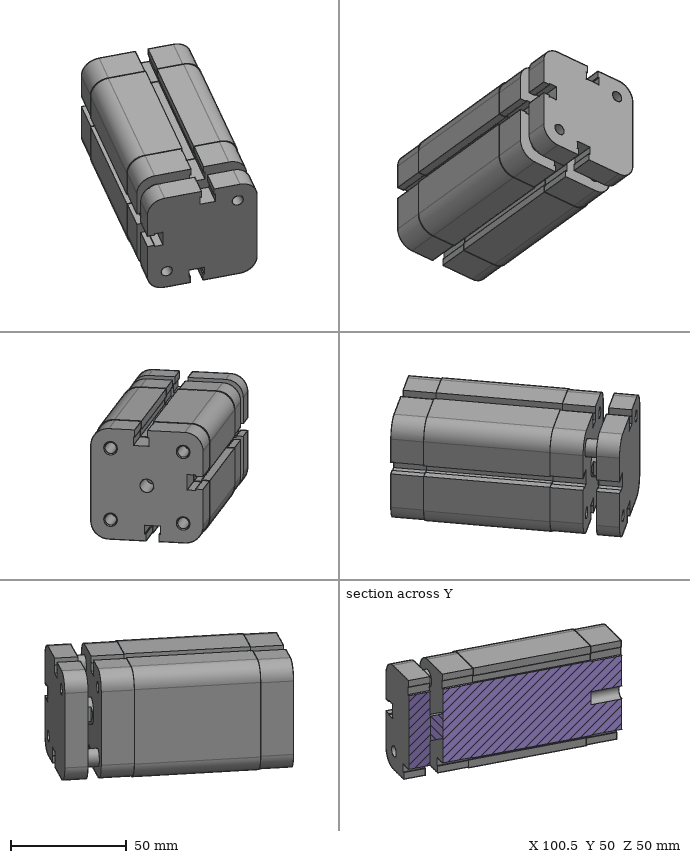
import cadquery as cq


housing_length = 84.5
end_cap_length = 14.5
barrel_length = housing_length - 2 * end_cap_length
rod_stand_out = 5.8
overall_length = 100.5
plate_start = housing_length + rod_stand_out
plate_length = overall_length - plate_start

barrel_width = 50.0
set_in = 0.25
barrel_corner_radius = 8.0
cap_corner_radius = 8.0
plate_corner_radius = barrel_corner_radius - set_in

slot_offset = 2.5
slot_mouth_width = 5.2
slot_undercut_width = 6.4
slot_undercut_depth = 3.75
slot_floor_depth = 7.0
slot_angles = [0, 90, 180]

corner_offset = 16.0
through_hole_corners = [(corner_offset, corner_offset), (-corner_offset, -corner_offset)]
guide_rod_corners = [(-corner_offset, corner_offset), (corner_offset, -corner_offset)]
corner_hole_diameter = 5.0
corner_hole_mouth_diameter = 6.0
mouth_chamfer_depth = (corner_hole_mouth_diameter - corner_hole_diameter) / 2
blind_hole_depth = end_cap_length
center_hole_diameter = 6.0
center_hole_depth = end_cap_length
guide_rod_diameter = 8.0

piston_rod_diameter = 12.0
wrench_flat_width = 10.0
collar_length = 0.5
shoulder_length = 0.5


def cylinder(x_start, length, diameter, points):
    """Equal cylinders along X, centred on the given (Y, Z) points."""
    return cq.Workplane("YZ", origin=(x_start, 0, 0)).pushPoints(points).circle(diameter / 2).extrude(length)


def slot_box(x_start, length, width, bottom, top):
    """Box along X between two heights, centred on the top slot."""
    plane = cq.Workplane("YZ", origin=(x_start, slot_offset, (bottom + top) / 2))
    return plane.rect(width, top - bottom).extrude(length)


def slot_cutter(x_start, length, inset):
    """Top T-slot with all its walls moved into the material by the inset."""
    outer = barrel_width / 2
    floor = outer - slot_floor_depth - inset
    undercut_top = outer - slot_undercut_depth + inset
    mouth = slot_box(x_start, length, slot_mouth_width + 2 * inset, floor, outer)
    undercut = slot_box(x_start, length, slot_undercut_width + 2 * inset, floor, undercut_top)
    return mouth.union(undercut)


def slotted_block(x_start, length, inset, corner_radius):
    """Rounded square block along X with the three T-slots."""
    width = barrel_width - 2 * inset
    block = cq.Workplane("YZ", origin=(x_start, 0, 0)).rect(width, width).extrude(length)
    block = block.edges("|X").fillet(corner_radius)
    cutter = slot_cutter(x_start, length, inset)
    for angle in slot_angles:
        block = block.cut(cutter.rotate((0, 0, 0), (1, 0, 0), angle))
    return block


def hole_mouth(y, z):
    """Cone that chamfers the mouth of a corner hole in the rear face."""
    cone = cq.Solid.makeCone(
        corner_hole_mouth_diameter / 2,
        corner_hole_diameter / 2,
        mouth_chamfer_depth,
        pnt=cq.Vector(0, y, z),
        dir=cq.Vector(1, 0, 0),
    )
    return cq.Workplane(cone)


def make_housing():
    """Barrel with its two end caps, corner holes and rear centre hole."""
    rear_cap = slotted_block(0, end_cap_length, set_in, cap_corner_radius)
    barrel = slotted_block(end_cap_length, barrel_length, 0, barrel_corner_radius)
    front_cap = slotted_block(end_cap_length + barrel_length, end_cap_length, set_in, cap_corner_radius)
    body = rear_cap.union(barrel).union(front_cap)

    body = body.cut(cylinder(0, housing_length, corner_hole_diameter, through_hole_corners))
    body = body.cut(cylinder(0, blind_hole_depth, corner_hole_diameter, guide_rod_corners))
    for y, z in through_hole_corners + guide_rod_corners:
        body = body.cut(hole_mouth(y, z))
    return body.cut(cylinder(0, center_hole_depth, center_hole_diameter, [(0, 0)]))


def make_piston_rod():
    """Exposed piston rod: a short round collar, then the wrench flats up to the plate."""
    rod = cylinder(housing_length, rod_stand_out, piston_rod_diameter, [(0, 0)])
    rod_radius = piston_rod_diameter / 2
    flat_start = housing_length + collar_length + shoulder_length
    flat_cutter = (
        cq.Workplane("XY")
        .moveTo(housing_length + collar_length, rod_radius)
        .lineTo(flat_start, wrench_flat_width / 2)
        .lineTo(plate_start, wrench_flat_width / 2)
        .lineTo(plate_start, rod_radius)
        .close()
        .extrude(rod_radius, both=True)
    )
    return rod.cut(flat_cutter).cut(flat_cutter.mirror("XZ"))


def make_guide_rod(corner):
    return cylinder(housing_length, rod_stand_out, guide_rod_diameter, [corner])


def make_plate():
    """Yoke plate carried by the rods, with the two through holes continued."""
    plate = slotted_block(plate_start, plate_length, set_in, plate_corner_radius)
    return plate.cut(cylinder(plate_start, plate_length, corner_hole_diameter, through_hole_corners))


housing = make_housing()
piston_rod = make_piston_rod()
guide_rods = [make_guide_rod(corner) for corner in guide_rod_corners]
plate = make_plate()

result = cq.Compound.makeCompound(
    [housing.val(), piston_rod.val(), *[rod.val() for rod in guide_rods], plate.val()]
)